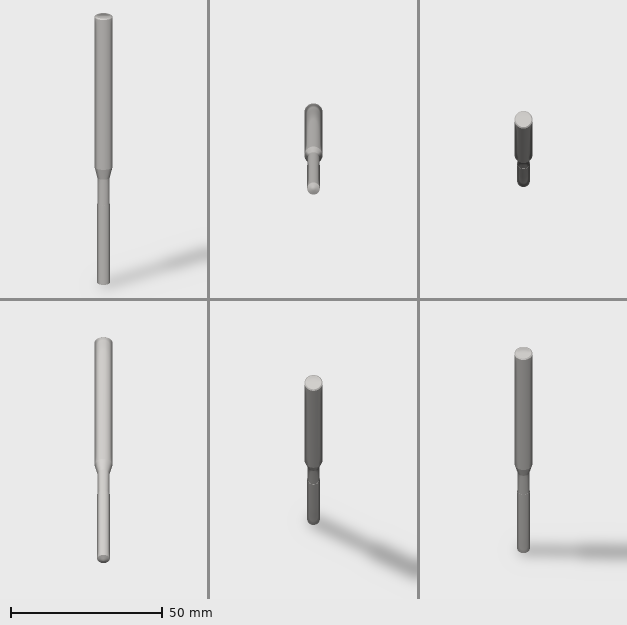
import cadquery as cq

total_length = 95.0
shank_diameter = 6.0
neck_diameter = 4.1
cutter_diameter = 4.2
tip_height = 0.8
cutter_top = 28.7
neck_top = 37.9
shank_bottom = 41.7
end_chamfer = 0.4

shank_radius = shank_diameter / 2
neck_radius = neck_diameter / 2
cutter_radius = cutter_diameter / 2


def make_cutter():
    """Cylindrical cutting section ending in a shallow conical point."""
    return (
        cq.Workplane("YZ")
        .moveTo(0, 0)
        .lineTo(cutter_radius, tip_height)
        .lineTo(cutter_radius, cutter_top)
        .lineTo(0, cutter_top)
        .close()
        .revolve(360, (0, 0), (0, 1))
    )


def make_shank():
    """Chamfered shank tapering down to the neck that meets the cutter."""
    return (
        cq.Workplane("YZ")
        .moveTo(0, cutter_top)
        .lineTo(neck_radius, cutter_top)
        .lineTo(neck_radius, neck_top)
        .lineTo(shank_radius, shank_bottom)
        .lineTo(shank_radius, total_length - end_chamfer)
        .lineTo(shank_radius - end_chamfer, total_length)
        .lineTo(0, total_length)
        .close()
        .revolve(360, (0, 0), (0, 1))
    )


cutter = make_cutter()
shank = make_shank()

result = cq.Compound.makeCompound([cutter.val(), shank.val()])